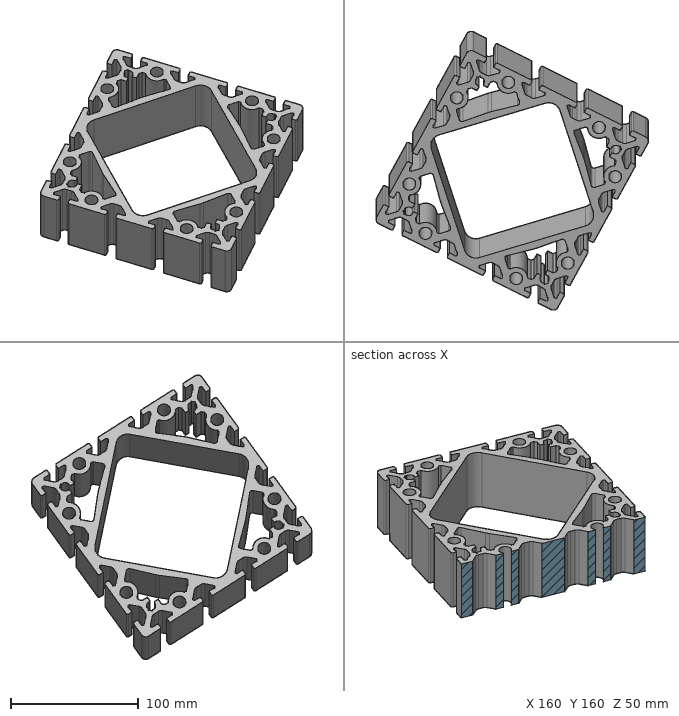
import cadquery as cq
import math

side = 160.0
length = 50.0
half = side / 2
corner_radius = 4.0

slots_per_side = 4
slot_pitch = side / slots_per_side
slot_opening = 8.0
lip_thickness = 4.5
lip_radius = 1.3
slot_width = 20.2
slot_depth = 12.8
slot_floor_width = 4.0
slot_floor_radius = 4.2
slot_corner_radius = 1.0

channel_from_corner = slot_pitch
channel_inset = 10.0
channel_diameter = 10.0
channel_boss_radius = 9.0
channel_points = [(channel_from_corner, channel_inset), (channel_inset, channel_from_corner)]

pocket_inset = 14.7
pocket_flat_end = 49.6
pocket_tip_radius = 2.2
web_middle_sum = 76.8
web_tip_sum = 78.5
web_strip_width = 3.2

screw_center = slot_pitch / 2
screw_diameter = 7.0
screw_wall_thickness = 4.0
screw_wall_end = 21.5
screw_wall_radius = 0.8
screw_wall_chamfer = 2.0
screw_notch_width = 3.2
screw_notch_reach = 4.2

diamond_sum = 85.5
diamond_corner_radius = 9.3


def make_slot():
    """T-slot along Z, centred on X = 0 and cut down from the plane Y = 0."""
    floor_end = slot_floor_width / 2
    bend_x = floor_end + slot_floor_radius * math.sin(math.pi / 4)
    bend_y = slot_floor_radius * (1 - math.cos(math.pi / 4)) - slot_depth
    wall_x = slot_width / 2
    wall_y = bend_y + wall_x - bend_x

    chamber = (
        cq.Workplane("XY")
        .moveTo(-wall_x, -lip_thickness)
        .lineTo(wall_x, -lip_thickness)
        .lineTo(wall_x, wall_y)
        .lineTo(bend_x, bend_y)
        .radiusArc((floor_end, -slot_depth), slot_floor_radius)
        .lineTo(-floor_end, -slot_depth)
        .radiusArc((-bend_x, bend_y), slot_floor_radius)
        .lineTo(-wall_x, wall_y)
        .close()
        .extrude(length)
    )
    chamber = chamber.edges("|Z and (<X or >X)").fillet(slot_corner_radius)

    mouth_x = slot_opening / 2
    flare_x = mouth_x + lip_radius
    opening = (
        cq.Workplane("XY")
        .moveTo(-mouth_x, -lip_thickness)
        .lineTo(mouth_x, -lip_thickness)
        .lineTo(mouth_x, -lip_radius)
        .radiusArc((flare_x, 0), lip_radius)
        .lineTo(-flare_x, 0)
        .radiusArc((-mouth_x, -lip_radius), lip_radius)
        .close()
        .extrude(length)
    )
    return chamber.union(opening)


def make_screw_channel():
    """Screw hole with a flat-bottomed notch that points at the outer corner."""
    hole = cq.Workplane("XY").circle(screw_diameter / 2).extrude(length)
    notch = (
        cq.Workplane("XY")
        .center(-screw_notch_reach / 2, 0)
        .rect(screw_notch_reach, screw_notch_width)
        .extrude(length)
        .rotate((0, 0, 0), (0, 0, 1), 45)
    )
    return hole.union(notch).translate((screw_center, screw_center, 0))


def make_pocket():
    """Corner pocket, for a corner at the origin with outer faces along +X and +Y."""
    wall_inner = screw_center + screw_diameter / 2
    wall_outer = wall_inner + screw_wall_thickness
    tip_difference = pocket_flat_end - pocket_inset
    strip_difference = web_strip_width * math.sqrt(2) / 2

    lower_side = [
        (screw_center, screw_center),
        (wall_inner, screw_center),
        (wall_inner, screw_wall_end),
        (wall_outer, screw_wall_end),
        (wall_outer, pocket_inset + screw_wall_chamfer),
        (wall_outer + screw_wall_chamfer, pocket_inset),
        (pocket_flat_end, pocket_inset),
        ((web_tip_sum + tip_difference) / 2, (web_tip_sum - tip_difference) / 2),
        ((web_middle_sum + strip_difference) / 2, (web_middle_sum - strip_difference) / 2),
    ]
    upper_side = [(y, x) for x, y in reversed(lower_side[1:])]
    pocket = cq.Workplane("XY").polyline(lower_side + upper_side).close().extrude(length)
    pocket = pocket.edges("|Z and (>X or >Y)").fillet(pocket_tip_radius)
    for corner in ((wall_inner, screw_wall_end), (screw_wall_end, wall_inner)):
        nearest = cq.selectors.NearestToPointSelector((*corner, length / 2))
        pocket = pocket.edges("|Z").edges(nearest).fillet(screw_wall_radius)

    bosses = (
        cq.Workplane("XY")
        .pushPoints(channel_points)
        .circle(channel_boss_radius)
        .extrude(length)
    )
    return pocket.cut(bosses).union(make_screw_channel())


def make_corner_cuts():
    """Pocket and round channels of the corner at (-half, -half)."""
    channels = (
        cq.Workplane("XY")
        .pushPoints(channel_points)
        .circle(channel_diameter / 2)
        .extrude(length)
    )
    return make_pocket().union(channels).translate((-half, -half, 0))


def make_diamond():
    """Central square opening turned by 45 degrees, with rounded corners."""
    reach = side - diamond_sum
    return (
        cq.Workplane("XY")
        .polyline([(reach, 0), (0, reach), (-reach, 0), (0, -reach)])
        .close()
        .extrude(length)
        .edges("|Z")
        .fillet(diamond_corner_radius)
    )


profile = cq.Workplane("XY").rect(side, side).extrude(length)
profile = profile.edges("|Z").fillet(corner_radius).cut(make_diamond())

slot = make_slot()
corner_cuts = make_corner_cuts()
for quarter_turn in range(4):
    cuts = corner_cuts
    for slot_index in range(slots_per_side):
        slot_x = (slot_index + 0.5) * slot_pitch - half
        cuts = cuts.union(slot.translate((slot_x, half, 0)))
    profile = profile.cut(cuts.rotate((0, 0, 0), (0, 0, 1), 90 * quarter_turn))

result = profile